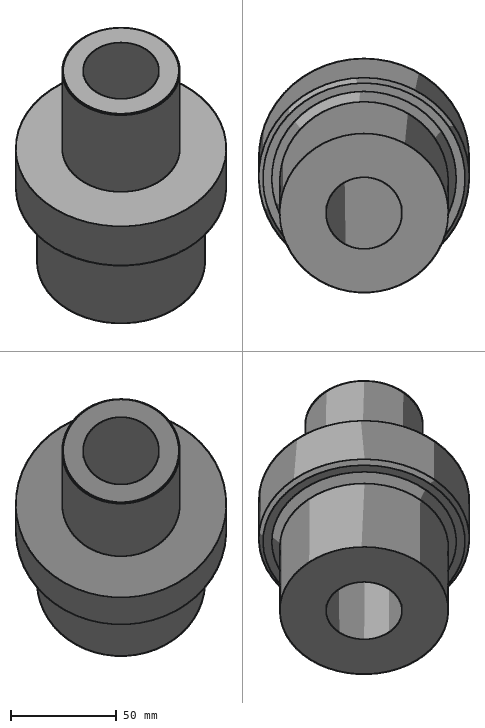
import cadquery as cq

total_height = 135.0
flange_diameter = 100.0
spigot_diameter = 56.0
base_diameter = 80.0
bore_diameter = 36.0

spigot_length = 55.0
flange_thickness = 30.0
neck_height = 4.0

neck_top_diameter = 87.6
flange_chamfer = 2.0
spigot_chamfer = 0.5

flange_top = total_height - spigot_length
flange_bottom = flange_top - flange_thickness
base_height = flange_bottom - neck_height

flange_radius = flange_diameter / 2
spigot_radius = spigot_diameter / 2
base_radius = base_diameter / 2

body = (
    cq.Workplane("XZ")
    .moveTo(0, 0)
    .lineTo(base_radius, 0)
    .lineTo(base_radius, base_height)
    .lineTo(neck_top_diameter / 2, flange_bottom)
    .lineTo(flange_radius - flange_chamfer, flange_bottom)
    .lineTo(flange_radius, flange_bottom + flange_chamfer)
    .lineTo(flange_radius, flange_top)
    .lineTo(spigot_radius, flange_top)
    .lineTo(spigot_radius, total_height - spigot_chamfer)
    .lineTo(spigot_radius - spigot_chamfer, total_height)
    .lineTo(0, total_height)
    .close()
    .revolve(360, (0, 0, 0), (0, 1, 0))
)

bore = cq.Workplane("XY").circle(bore_diameter / 2).extrude(total_height)

result = body.cut(bore)